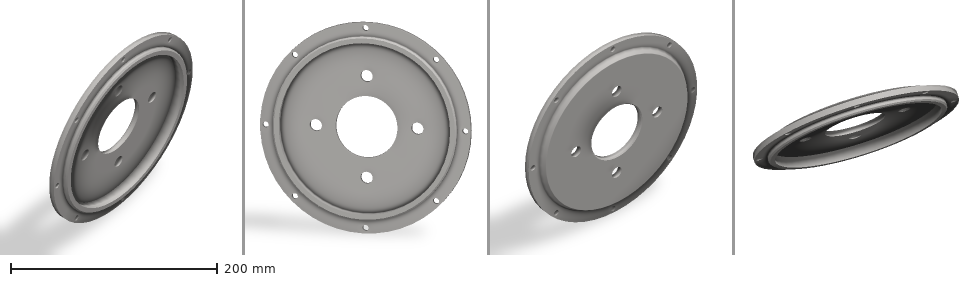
import cadquery as cq

total_depth = 17.0
flange_radius = 104.0
flange_thickness = 5.8
flange_front = 6.0
flange_back = flange_front + flange_thickness

hub_face_radius = 87.3
hub_base_radius = 91.0
hub_edge_fillet = 0.6
hub_root_fillet = 1.0

rim_radius = 90.9
rim_edge_chamfer = 1.5
web_thickness = 6.0
wall_thickness = 6.2
pocket_radius = rim_radius - wall_thickness

bore_radius = 30.5
bore_chamfer = 1.0
mount_hole_count = 4
mount_hole_diameter = 12.0
mount_circle_radius = 50.1
flange_hole_count = 8
flange_hole_diameter = 6.0
flange_hole_circle_radius = 98.5


def disc(radius, start, end):
    """Cylinder along X between two axial positions."""
    return cq.Workplane("YZ", origin=(start, 0, 0)).circle(radius).extrude(end - start)


def hole_circle(count, diameter, circle_radius):
    """Through-hole cutters evenly spaced about the X axis."""
    return (
        cq.Workplane("YZ")
        .polarArray(circle_radius, 0, 360, count)
        .circle(diameter / 2)
        .extrude(total_depth)
    )


def make_hub():
    """Tapered hub joined to the flange, with rounded face edge and root."""
    cone = (
        cq.Workplane("XY")
        .polyline([
            (0, 0),
            (0, hub_face_radius),
            (flange_front, hub_base_radius),
            (flange_front, 0),
        ])
        .close()
        .revolve(360, (0, 0, 0), (1, 0, 0))
        .faces("<X").edges().fillet(hub_edge_fillet)
    )
    body = cone.union(disc(flange_radius, flange_front, flange_back))
    front_edges = body.edges("%CIRCLE").edges(
        cq.selectors.BoxSelector(
            (flange_front - hub_edge_fillet, -flange_radius, -flange_radius),
            (flange_front + hub_edge_fillet, flange_radius, flange_radius),
        )
    )
    return front_edges.edges(cq.selectors.RadiusNthSelector(0)).fillet(hub_root_fillet)


def make_rim():
    """Rear locating rim with a chamfered outer edge."""
    return disc(rim_radius, flange_back, total_depth).faces(">X").edges().chamfer(rim_edge_chamfer)


def cut_bore(body):
    """Central bore, chamfered on the hub face."""
    bored = body.cut(disc(bore_radius, 0, total_depth))
    return bored.faces("<X").edges(cq.selectors.RadiusNthSelector(0)).chamfer(bore_chamfer)


result = make_hub().union(make_rim())
result = result.cut(disc(pocket_radius, web_thickness, total_depth))
result = cut_bore(result)
result = result.cut(hole_circle(mount_hole_count, mount_hole_diameter, mount_circle_radius))
result = result.cut(hole_circle(flange_hole_count, flange_hole_diameter, flange_hole_circle_radius))